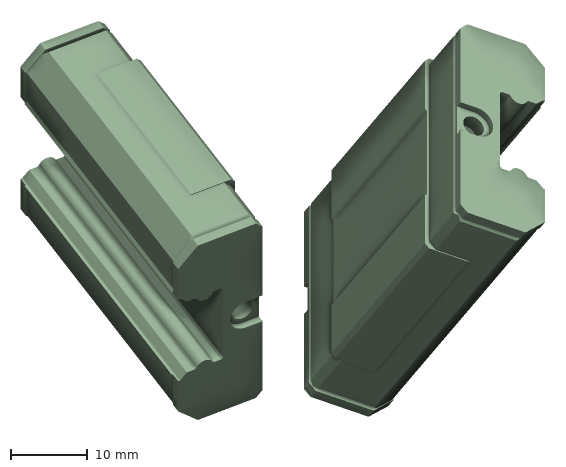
import cadquery as cq

LENGTH = 43.0
HALF_HEIGHT = 15.85
DEPTH = 12.5

CAP_THICKNESS = 1.4
BODY_SETBACK = 0.17
FRONT_BEVEL = 2.92
BACK_BEVEL = 1.0
END_CHAMFER = 0.6

CHANNEL_FLOOR_Y = 6.65
CHANNEL_HALF_WIDTH = 6.45
FLOOR_CORNER = 0.25
MOUTH_HALF_WIDTH = 7.45
MOUTH_LAND = 0.25
MOUTH_CHAMFER_END = 1.3

RIDGE_Y = 3.9
RIDGE_TIP_Z = 5.5
RIDGE_HALF_WIDTH = 1.2
RIDGE_ROOT_Z = 6.28
RIDGE_BASE_HALF_WIDTH = 1.4

LIP_PROJECTION = 0.17
LIP_TOP_Z = 7.85

PLATE_LENGTH = 25.63
PLATE_BACK = 0.6
PLATE_SIDE = 0.15
PLATE_CORNER = 0.6
PLATE_FRONT_Y = 6.4
PLATE_TAPER = 0.3
RECESS_DEPTH = 0.3
RECESS_HALF_WIDTH = 6.92
RECESS_SLOPE = 0.4

PORT_Y = 10.05
PORT_SLOT_WIDTH = 4.7
PORT_SLOT_DEPTH = 1.0
PORT_HOLE_DIAMETER = 3.05
PORT_HOLE_DEPTH = 2.15

BODY_LENGTH = LENGTH - 2 * CAP_THICKNESS


def prism(outline, length):
    """Extrude a closed YZ outline along X, centred on X = 0."""
    return outline.close().extrude(length / 2, both=True)


def bevelled_block(length, front_y):
    """Full-height block with large front bevels and small back bevels."""
    half = [
        (front_y, HALF_HEIGHT - FRONT_BEVEL),
        (front_y + FRONT_BEVEL, HALF_HEIGHT),
        (DEPTH - BACK_BEVEL, HALF_HEIGHT),
        (DEPTH, HALF_HEIGHT - BACK_BEVEL),
    ]
    mirrored = [(y, -z) for y, z in reversed(half)]
    return prism(cq.Workplane("YZ").polyline(half + mirrored), length)


def body():
    """Centre block with the top, bottom and back edges of its ends chamfered."""
    block = bevelled_block(BODY_LENGTH, BODY_SETBACK)
    half_length = BODY_LENGTH / 2
    outer = HALF_HEIGHT
    for end in (-1, 1):
        edge_x = end * half_length
        inner_x = edge_x - end * END_CHAMFER
        for side in (-1, 1):
            wedge = (
                cq.Workplane("XZ")
                .polyline([
                    (edge_x, side * outer),
                    (inner_x, side * outer),
                    (edge_x, side * (outer - END_CHAMFER)),
                ])
                .close()
                .extrude(-DEPTH)
            )
            block = block.cut(wedge)
        back_wedge = (
            cq.Workplane("XY")
            .polyline([(edge_x, DEPTH), (inner_x, DEPTH), (edge_x, DEPTH - END_CHAMFER)])
            .close()
            .extrude(outer, both=True)
        )
        block = block.cut(back_wedge)
    return block


def caps():
    """Pair of end caps."""
    full = bevelled_block(LENGTH, 0)
    return full.cut(bevelled_block(BODY_LENGTH, 0))


def lips():
    """Seal lips standing out in front of the body, level with the channel mouth."""
    upper = prism(
        cq.Workplane("YZ").polyline([
            (-LIP_PROJECTION, MOUTH_HALF_WIDTH),
            (BODY_SETBACK, LIP_TOP_Z),
            (MOUTH_CHAMFER_END, LIP_TOP_Z),
            (MOUTH_CHAMFER_END, MOUTH_HALF_WIDTH),
        ]),
        BODY_LENGTH,
    )
    return upper.union(upper.mirror("XY"))


def channel():
    """Cutter for the channel, symmetric about Z = 0 and open past the lips."""
    mouth_y = -2 * LIP_PROJECTION
    upper = prism(
        cq.Workplane("YZ")
        .moveTo(mouth_y, 0)
        .lineTo(mouth_y, MOUTH_HALF_WIDTH)
        .lineTo(MOUTH_LAND, MOUTH_HALF_WIDTH)
        .lineTo(MOUTH_CHAMFER_END, CHANNEL_HALF_WIDTH)
        .lineTo(RIDGE_Y - RIDGE_BASE_HALF_WIDTH, CHANNEL_HALF_WIDTH)
        .lineTo(RIDGE_Y - RIDGE_HALF_WIDTH, RIDGE_ROOT_Z)
        .threePointArc((RIDGE_Y, RIDGE_TIP_Z), (RIDGE_Y + RIDGE_HALF_WIDTH, RIDGE_ROOT_Z))
        .lineTo(RIDGE_Y + RIDGE_BASE_HALF_WIDTH, CHANNEL_HALF_WIDTH)
        .lineTo(CHANNEL_FLOOR_Y - FLOOR_CORNER, CHANNEL_HALF_WIDTH)
        .lineTo(CHANNEL_FLOOR_Y, CHANNEL_HALF_WIDTH - FLOOR_CORNER)
        .lineTo(CHANNEL_FLOOR_Y, 0),
        LENGTH,
    )
    return upper.union(upper.mirror("XY"))


def cover_plate():
    """Thin plate around the back, with a shallow recess along its middle."""
    outer_y = DEPTH + PLATE_BACK
    outer_z = HALF_HEIGHT + PLATE_SIDE
    half = [
        (PLATE_FRONT_Y, HALF_HEIGHT),
        (PLATE_FRONT_Y + PLATE_TAPER, outer_z),
        (outer_y - PLATE_CORNER, outer_z),
        (outer_y, outer_z - PLATE_CORNER),
        (outer_y, RECESS_HALF_WIDTH + RECESS_SLOPE),
        (outer_y - RECESS_DEPTH, RECESS_HALF_WIDTH),
    ]
    mirrored = [(y, -z) for y, z in reversed(half)]
    return prism(cq.Workplane("YZ").polyline(half + mirrored), PLATE_LENGTH)


def port():
    """Cutter for the port in the -X cap: a round-ended slot open to the back, and a hole."""
    radius = PORT_SLOT_WIDTH / 2
    face = cq.Workplane("YZ", origin=(-LENGTH / 2, 0, 0))
    slot = (
        face.moveTo(DEPTH, radius)
        .lineTo(PORT_Y, radius)
        .threePointArc((PORT_Y - radius, 0), (PORT_Y, -radius))
        .lineTo(DEPTH, -radius)
        .close()
        .extrude(PORT_SLOT_DEPTH)
    )
    hole = (
        face.center(PORT_Y, 0)
        .circle(PORT_HOLE_DIAMETER / 2)
        .extrude(PORT_SLOT_DEPTH + PORT_HOLE_DEPTH)
    )
    return slot.union(hole)


result = body().union(caps()).union(cover_plate()).union(lips()).cut(channel())
result = result.cut(port()).cut(port().mirror("YZ"))